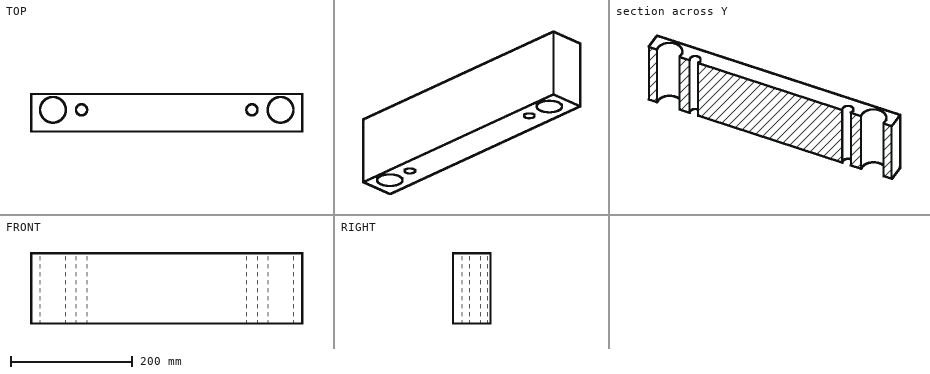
import cadquery as cq

length = 446.0
thickness = 62.0
height = 116.0

large_diameter = 42.0
small_diameter = 18.0
large_spacing = 374.0
small_spacing = 280.0
back_edge_distance = 26.0

row_y = thickness / 2 - back_edge_distance


def drill_pair(body, diameter, spacing):
    """Drill two through holes, symmetric about the middle of the block."""
    centers = [(-spacing / 2, row_y), (spacing / 2, row_y)]
    return body.faces(">Z").workplane(origin=(0, 0, 0)).pushPoints(centers).hole(diameter)


block = cq.Workplane("XY").box(length, thickness, height)
block = drill_pair(block, large_diameter, large_spacing)
result = drill_pair(block, small_diameter, small_spacing)